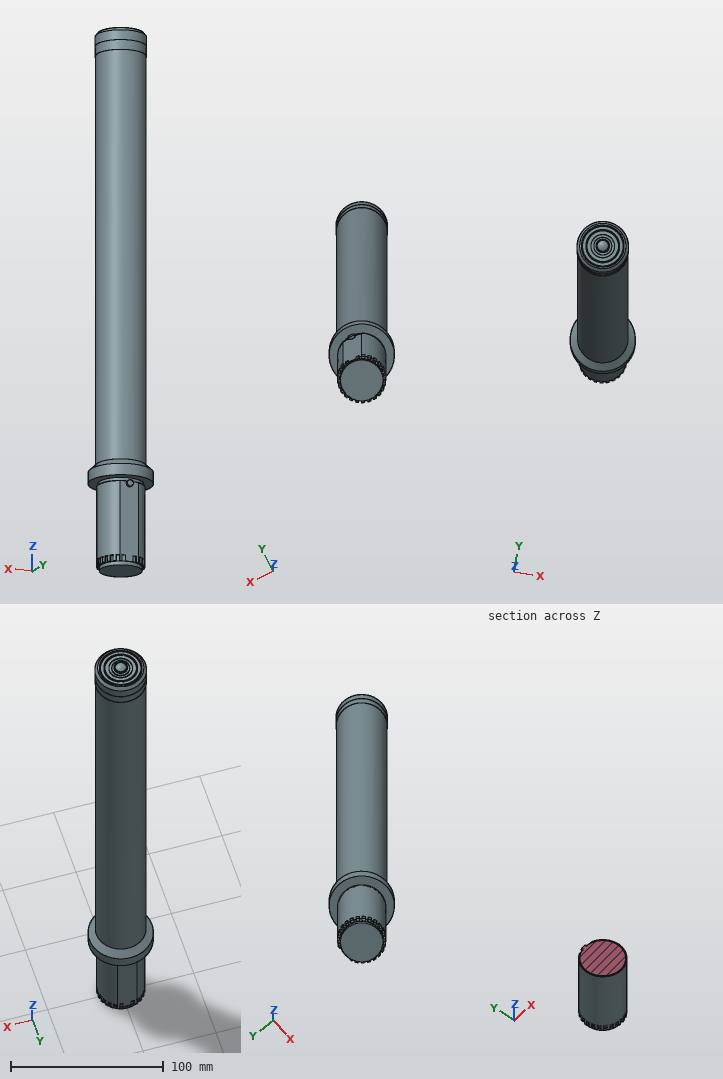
import cadquery as cq
import math

total_height = 369.5
collar_radius = 21.5
cap_radius = 17.0
parting_step = 0.15
seal_radius = cap_radius - parting_step
tube_radius = seal_radius - parting_step
shank_radius = 16.0
neck_radius = 15.0
foot_radius = 14.0

foot_height = 2.5
slot_top = 6.5
neck_bottom = 57.3
collar_bottom = 59.5
collar_shoulder = 67.3
collar_top = 71.7
seal_bottom = 351.8
cap_bottom = 358.5
cap_edge = 365.0
cap_face = 367.5

cap_face_radius = 15.0
hub_radius = 4.5
hub_step = 0.7
dome_base = cap_face + hub_step
dome_radius = 3.7
dome_height = total_height - dome_base
dome_sphere = (dome_radius**2 + dome_height**2) / (2 * dome_height)
dome_mid_radius = dome_radius / 2
dome_mid_height = total_height - dome_sphere + math.sqrt(dome_sphere**2 - dome_mid_radius**2)
groove_depth = 0.7
face_grooves = [(6.0, 7.8), (10.5, 11.0), (13.3, 14.0)]

slot_count = 24
slot_width = 2.2
slot_depth = 1.5

flat_offset = 14.5
pin_reach = 16.3
pin_radius = 2.2
pin_height = 55.8


def turned_body():
    """Revolve the half outline of the whole part about Z."""
    outline = [
        (0, 0),
        (foot_radius, 0),
        (foot_radius, foot_height),
        (shank_radius, foot_height),
        (shank_radius, neck_bottom),
        (neck_radius, neck_bottom),
        (neck_radius, collar_bottom),
        (collar_radius, collar_bottom),
        (collar_radius, collar_shoulder),
        (tube_radius, collar_top),
        (tube_radius, seal_bottom),
        (seal_radius, seal_bottom),
        (seal_radius, cap_bottom),
        (cap_radius, cap_bottom),
        (cap_radius, cap_edge),
        (cap_face_radius, cap_face),
        (hub_radius, cap_face),
        (hub_radius, dome_base),
        (dome_radius, dome_base),
    ]
    return (
        cq.Workplane("XZ")
        .polyline(outline)
        .threePointArc((dome_mid_radius, dome_mid_height), (0, total_height))
        .close()
        .revolve(360, (0, 0), (0, 1))
    )


def face_groove(inner_radius, outer_radius):
    """Annular cutter sunk into the cap face."""
    return (
        cq.Workplane("XY", origin=(0, 0, cap_face - groove_depth))
        .circle(outer_radius)
        .circle(inner_radius)
        .extrude(2 * groove_depth)
    )


def grip_slots():
    """Ring of radial box cutters reaching inward from the shank surface."""
    return (
        cq.Workplane("XY", origin=(0, 0, foot_height))
        .polarArray(shank_radius, 0, 360, slot_count)
        .rect(2 * slot_depth, slot_width)
        .extrude(slot_top - foot_height)
    )


def key_flat():
    """Cutter for the flat along the shank."""
    return (
        cq.Workplane("XY")
        .center(0, flat_offset + shank_radius / 2)
        .rect(2 * shank_radius, shank_radius)
        .extrude(neck_bottom)
    )


def locating_pin():
    """Short round pin standing on the flat."""
    return (
        cq.Workplane("XZ", origin=(0, 0, pin_height))
        .circle(pin_radius)
        .extrude(-pin_reach)
    )


result = turned_body()
for groove_inner, groove_outer in face_grooves:
    result = result.cut(face_groove(groove_inner, groove_outer))
result = result.cut(grip_slots())
result = result.cut(key_flat()).union(locating_pin())